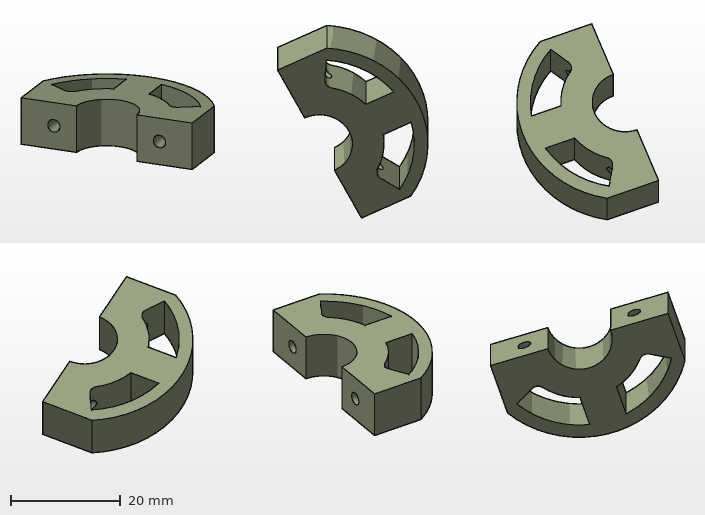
import cadquery as cq
import math

WIDTH = 34.0
THICKNESS = 9.0
OUTER_RADIUS = 19.75
BORE_RADIUS = 6.0

RIM_WALL = 2.5
WINDOW_OUTER_RADIUS = OUTER_RADIUS - RIM_WALL
WINDOW_INNER_RADIUS = 11.75
WEB_WIDTH = 7.0
WINDOW_EDGE_ANGLE = math.radians(30)
WINDOW_EDGE_OFFSET = 0.25
WINDOW_FILLET = 1.5
ARC_MID_ANGLE = math.radians(60)

HOLE_DIAMETER = 2.4
HOLE_SPACING = 21.0
HOLE_DEPTH = 8.0


def half_disc():
    """Disc cut off flat at both sides and along the split face."""
    disc = cq.Workplane("XY").circle(OUTER_RADIUS).extrude(THICKNESS)
    envelope = cq.Workplane("XY").rect(WIDTH, OUTER_RADIUS).extrude(THICKNESS)
    envelope = envelope.translate((0, OUTER_RADIUS / 2, 0))
    return disc.intersect(envelope)


def bore():
    """Central shaft bore, half of which lies in the part."""
    return cq.Workplane("XY").circle(BORE_RADIUS).extrude(THICKNESS)


def window():
    """Ring segment on the +X side, bounded by the web and a sloping lower edge."""
    sine = math.sin(WINDOW_EDGE_ANGLE)
    cosine = math.cos(WINDOW_EDGE_ANGLE)

    def on_web(radius):
        x = WEB_WIDTH / 2
        return (x, math.sqrt(radius**2 - x**2))

    def on_edge(radius):
        along = math.sqrt(radius**2 - WINDOW_EDGE_OFFSET**2)
        x = along * cosine - WINDOW_EDGE_OFFSET * sine
        y = along * sine + WINDOW_EDGE_OFFSET * cosine
        return (x, y)

    def mid_arc(radius):
        return (radius * math.cos(ARC_MID_ANGLE), radius * math.sin(ARC_MID_ANGLE))

    blank = (
        cq.Workplane("XY")
        .moveTo(*on_web(WINDOW_INNER_RADIUS))
        .lineTo(*on_web(WINDOW_OUTER_RADIUS))
        .threePointArc(mid_arc(WINDOW_OUTER_RADIUS), on_edge(WINDOW_OUTER_RADIUS))
        .lineTo(*on_edge(WINDOW_INNER_RADIUS))
        .threePointArc(mid_arc(WINDOW_INNER_RADIUS), on_web(WINDOW_INNER_RADIUS))
        .close()
        .extrude(THICKNESS)
    )
    corner_point = (*on_edge(WINDOW_INNER_RADIUS), THICKNESS / 2)
    inner_corner = cq.selectors.NearestToPointSelector(corner_point)
    return blank.edges("|Z").edges(inner_corner).fillet(WINDOW_FILLET)


def screw_hole():
    """Hole on the +X side, ending inside the window."""
    x = HOLE_SPACING / 2
    hole = cq.Workplane("XZ").circle(HOLE_DIAMETER / 2).extrude(-HOLE_DEPTH)
    return hole.translate((x, 0, THICKNESS / 2))


result = half_disc().cut(bore())
for cutter in (window(), screw_hole()):
    result = result.cut(cutter).cut(cutter.mirror("YZ"))